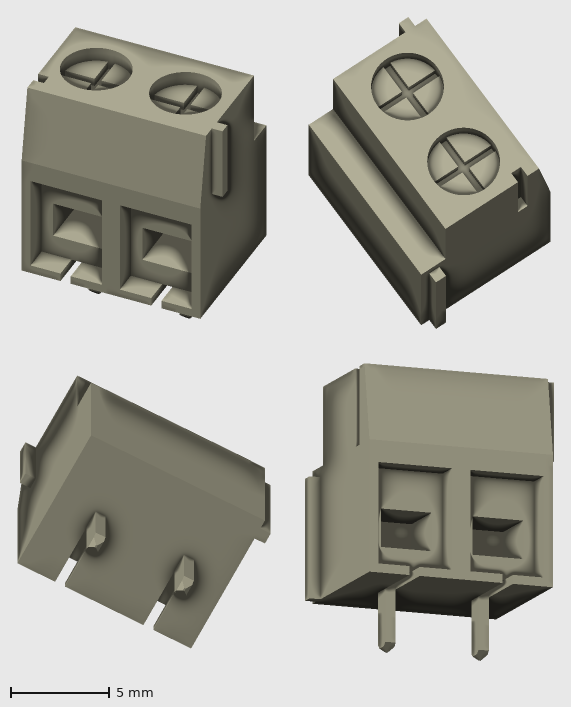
import cadquery as cq


body_width = 10.01
body_depth = 8.0
body_height = 11.0
shoulder_height = 6.9
ledge_depth = 1.5
slope_depth = 0.7

rib_projection = 0.6
rear_rib_width = 0.62
rear_rib_height = 6.36
rear_rib_inset = 0.5
front_rib_width = 0.6
front_rib_start = 1.4

pole_pitch = 5.0
screw_diameter = 3.7
screw_y = 3.62
screw_recess = 0.8
cross_arm_x = 0.38
cross_arm_y = 0.43
cross_depth = 0.45

pocket_width = 4.0
pocket_floor = 0.47
pocket_height = 5.28
pocket_depth = 1.33
window_width = 2.77
window_offset = 0.03
window_floor = 1.66
window_height = 2.0
window_depth = 2.84

pin_pitch = 5.08
pin_width = 0.57
pin_thickness = 1.01
pin_length = 3.2
pin_y = 3.89
tip_chamfer_x = 0.24
tip_chamfer_y = 0.43


def box(width, depth, height, x_center, y_start, z_start):
    """Box centred on x_center that grows toward +Y and +Z."""
    return (
        cq.Workplane("XY")
        .box(width, depth, height, centered=(True, False, False))
        .translate((x_center, y_start, z_start))
    )


def pointed_profile(plane, width, chamfer):
    """Outline of a pin, centred on the plane's vertical axis, with a chamfered lower end."""
    half = width / 2
    return cq.Workplane(plane).polyline([
        (-half, 0),
        (-half, chamfer - pin_length),
        (chamfer - half, -pin_length),
        (half - chamfer, -pin_length),
        (half, chamfer - pin_length),
        (half, 0),
    ]).close()


def make_housing():
    profile = [
        (0, 0),
        (body_depth, 0),
        (body_depth, shoulder_height),
        (body_depth - ledge_depth, shoulder_height),
        (body_depth - ledge_depth, body_height),
        (slope_depth, body_height),
        (0, shoulder_height),
    ]
    return cq.Workplane("YZ").polyline(profile).close().extrude(body_width / 2, both=True)


def make_front_rib(x_center):
    """Upper rib shape, used as a rib on one side and as a matching groove on the other."""
    rib_height = body_height - shoulder_height
    return box(rib_projection, front_rib_width, rib_height, x_center, front_rib_start, shoulder_height)


def make_rear_rib():
    x_center = -(body_width + rib_projection) / 2
    y_start = body_depth - rear_rib_inset - rear_rib_width
    return box(rib_projection, rear_rib_width, rear_rib_height, x_center, y_start, 0)


def make_screw_recess(x):
    """Round recess down to the cross slot's floor, less the four raised quadrants of the head."""
    cavity_depth = screw_recess + cross_depth
    cavity = cq.Workplane("XY").circle(screw_diameter / 2).extrude(cavity_depth)
    for x_side in (-1, 1):
        for y_side in (-1, 1):
            quadrant = (
                cq.Workplane("XY")
                .box(screw_diameter, screw_diameter, cross_depth, centered=(True, True, False))
                .translate((
                    x_side * (screw_diameter + cross_arm_x) / 2,
                    y_side * (screw_diameter + cross_arm_y) / 2,
                    0,
                ))
            )
            cavity = cavity.cut(quadrant)
    return cavity.translate((x, screw_y, body_height - cavity_depth))


def make_wire_entry(x):
    pocket = box(pocket_width, pocket_depth, pocket_height, x, 0, pocket_floor)
    window = box(window_width, window_depth, window_height, x + window_offset, pocket_depth, window_floor)
    return pocket.union(window)


def make_pin(x):
    across = pointed_profile("XZ", pin_width, tip_chamfer_x).extrude(pin_thickness, both=True)
    along = pointed_profile("YZ", pin_thickness, tip_chamfer_y).extrude(pin_width, both=True)
    return across.intersect(along).translate((x, pin_y, 0))


result = make_housing()
side_rib_x = (body_width + rib_projection) / 2
slot_depth = pin_y - pin_thickness / 2
groove_x = (rib_projection - body_width) / 2
result = result.union(make_front_rib(side_rib_x)).cut(make_front_rib(groove_x)).union(make_rear_rib())

for side in (-1, 1):
    pole_x = side * pole_pitch / 2
    pin_x = side * pin_pitch / 2
    floor_slot = box(pin_width, slot_depth, pocket_floor, pin_x, 0, 0)
    result = result.cut(make_screw_recess(pole_x)).cut(make_wire_entry(pole_x)).cut(floor_slot)
    result = result.union(make_pin(pin_x))